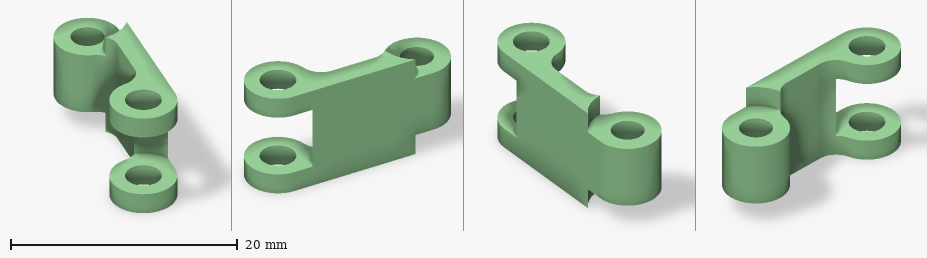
import cadquery as cq
import math

length = 20.0
height = 10.0
eye_radius = 3.0
bar_thickness = 2.0
fillet_radius = 2.0
ear_height = 2.0
clearance_radius = 3.5
knuckle_bore = 3.0
fork_bore = 3.25

fork_x = length / 2 - eye_radius
knuckle_x = -fork_x
knuckle_height = height - 2 * ear_height

inner_face_y = eye_radius - bar_thickness
fillet_center_y = inner_face_y - fillet_radius
center_distance = eye_radius + fillet_radius
fillet_offset = math.sqrt(center_distance**2 - fillet_center_y**2)
fillet_center_x = fork_x - fillet_offset
tangent_share = eye_radius / center_distance
tangent_x = fork_x - fillet_offset * tangent_share
tangent_y = fillet_center_y * tangent_share

start_angle = math.pi / 2
end_angle = math.atan2(-fillet_center_y, fillet_offset)
middle_angle = (start_angle + end_angle) / 2
fillet_middle_x = fillet_center_x + fillet_radius * math.cos(middle_angle)
fillet_middle_y = fillet_center_y + fillet_radius * math.sin(middle_angle)


def cylinder(x, radius, cylinder_height):
    """Upright cylinder on an eye axis, centered in height."""
    return cq.Workplane("XY").center(x, 0).circle(radius).extrude(cylinder_height / 2, both=True)


def make_bar():
    """Bar with filleted necks that reach the axes of both eyes."""
    return (
        cq.Workplane("XY")
        .moveTo(knuckle_x, eye_radius)
        .lineTo(fork_x, eye_radius)
        .lineTo(fork_x, 0)
        .lineTo(tangent_x, tangent_y)
        .threePointArc((fillet_middle_x, fillet_middle_y), (fillet_center_x, inner_face_y))
        .lineTo(-fillet_center_x, inner_face_y)
        .threePointArc((-fillet_middle_x, fillet_middle_y), (-tangent_x, tangent_y))
        .lineTo(knuckle_x, 0)
        .close()
        .extrude(height / 2, both=True)
    )


def make_knuckle_clearance():
    """Space above and below the knuckle for the ears of a mating link."""
    full = cylinder(knuckle_x, clearance_radius, height)
    return full.cut(cylinder(knuckle_x, clearance_radius, knuckle_height))


body = make_bar()
for eye_x in (knuckle_x, fork_x):
    body = body.union(cylinder(eye_x, eye_radius, height))

body = body.cut(make_knuckle_clearance())
body = body.cut(cylinder(fork_x, clearance_radius, knuckle_height))

for eye_x, bore in ((knuckle_x, knuckle_bore), (fork_x, fork_bore)):
    body = body.cut(cylinder(eye_x, bore / 2, height))

result = body